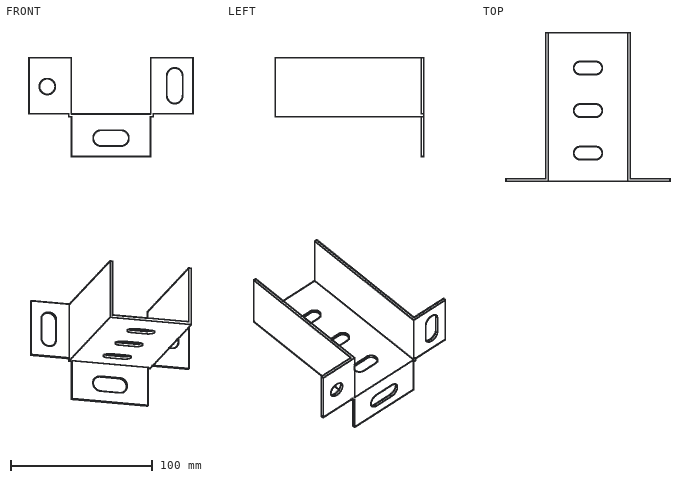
import cadquery as cq

overall_width = 116.0
depth = 105.0
height = 70.0
thickness = 2.0
flange_length = 30.0

mount_diameter = 11.0
mount_slot_length = 25.0
round_hole_drop = 0.6
mount_edge_distance = 13.0
floor_slot_length = 20.0
floor_slot_width = 9.0
floor_slot_pitch = 30.0
first_floor_slot = 20.0
floor_slot_count = 3

inner_width = overall_width - 2 * flange_length
outer_width = inner_width + 2 * thickness
floor_top = flange_length
floor_bottom = floor_top - thickness
wall_height = height - floor_bottom
side_flange_height = height - floor_top
mount_x = overall_width / 2 - mount_edge_distance
side_mount_z = floor_top + side_flange_height / 2
round_hole_z = side_mount_z - round_hole_drop


def plate(x_start, z_start, size_x, size_y, size_z):
    """Rectangular plate starting at the front face."""
    return cq.Workplane("XY").box(size_x, size_y, size_z, centered=False).translate((x_start, 0, z_start))


def front_opening():
    """Sketch plane on the front face, pointing out of the part."""
    return cq.Workplane("XZ")


def through_flange(sketch):
    """Cutting body through the front flanges."""
    return sketch.extrude(-thickness)


body = plate(-outer_width / 2, floor_bottom, outer_width, depth, thickness)
for wall_x in (-outer_width / 2, inner_width / 2):
    body = body.union(plate(wall_x, floor_bottom, thickness, depth, wall_height))

for flange_x in (-overall_width / 2, inner_width / 2):
    body = body.union(plate(flange_x, floor_top, flange_length, thickness, side_flange_height))
body = body.union(plate(-inner_width / 2, 0, inner_width, thickness, flange_length))

round_hole = front_opening().center(-mount_x, round_hole_z).circle(mount_diameter / 2)
upright_slot = front_opening().center(mount_x, side_mount_z).slot2D(mount_slot_length, mount_diameter, 90)
level_slot = front_opening().center(0, mount_edge_distance).slot2D(mount_slot_length, mount_diameter)
for opening in (round_hole, upright_slot, level_slot):
    body = body.cut(through_flange(opening))

slot_centers = [(0, first_floor_slot + i * floor_slot_pitch) for i in range(floor_slot_count)]
floor_slots = (
    cq.Workplane("XY")
    .workplane(offset=floor_bottom)
    .pushPoints(slot_centers)
    .slot2D(floor_slot_length, floor_slot_width)
    .extrude(thickness)
)
result = body.cut(floor_slots)